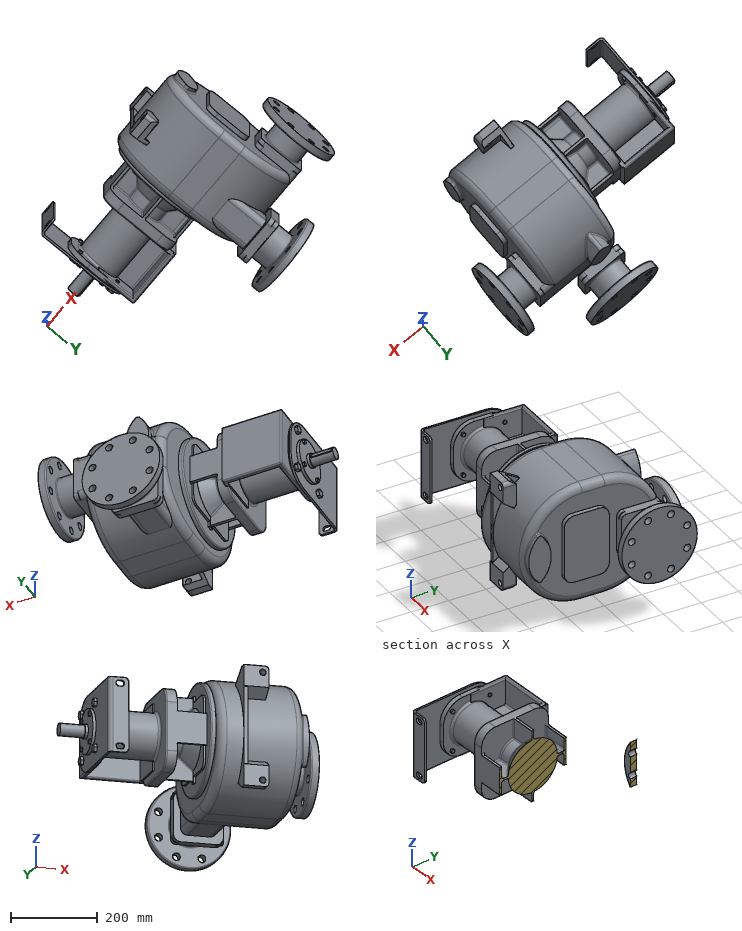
import cadquery as cq
import math


SHAFT_R = 15
KEY_WIDTH = 8
KEY_START_X = 3
KEY_END_X = 55
KEY_TOP_Y = 17.5
COLLAR_R = 17.5
COLLAR_X = 59
COVER_R = 54
COVER_X = 66
COVER_THICKNESS = 7.5
HEX_SIDES = 6
SCREW_PITCH = 33.5
SCREW_CORNERS = 12
SCREW_HEAD = 4.5
BOLT_PITCH = 55
BOLT_CORNERS = 21
BOLT_SHANK_R = 5
BOLT_TIP_LENGTH = 5
HOUSING_R = 55.5
HOUSING_PLATE_HALF = 80
HOUSING_PLATE_CORNER_R = 57
HOUSING_PLATE_THICKNESS = 13
HOUSING_FILLET = 6

BRACKET_X = COVER_X + COVER_THICKNESS
BRACKET_THICKNESS = 5.5
BRACKET_HALF_HEIGHT = 90
BRACKET_END_Y = 82
BRACKET_END_R = 65
BRACKET_BEND_R = 10
BRACKET_FOOT_LENGTH = 48
SLOT_LENGTH = 20
SLOT_WIDTH = 14
SLOT_X = 101
SLOT_Z = 75.5

BOX_X = 82
BOX_END_X = 236
BOX_OUTER_Y = 114
BOX_WALL = 12.5
BOX_HALF_HEIGHT = 80
BOX_EDGE_FILLET = 3.5
BOX_FIN_HALF = 8
BOX_FIN_FILLET = 4

LANTERN_X = 229
LANTERN_FLANGE_THICKNESS = 27
LANTERN_HALF = 99.5
LANTERN_CORNER_R = 41
LANTERN_EDGE_FILLET = 3
ARM_HALF_HEIGHT = 38
RIB_THICKNESS = 7
ARM_FILLET = 7
ROOT_FILLET = 3
HUB_R = 44.5
HUB_CONE_X = 288
HUB_CONE_END_R = 78.5
PAD_HALF = 89
PAD_CORNER_R = 20
PAD_THICKNESS = 5
RIB_FOOT_WIDTH = 14
RIB_FOOT_TOP = 104
DISC_X = 327
DISC_R = 134.5
DISC_EDGE_FILLET = 3

CASING_X = 339
CASING_LENGTH = 208.5
CASING_R = 157
CASING_Z = -16
CASING_ARC_Y = 61
CASING_FLAT_Y = 211.5
CASING_FILLET = 20
CASING_END_X = CASING_X + CASING_LENGTH
BACK_BOSS_HEIGHT = 12

FLANGE_R = 100.5
FLANGE_THICKNESS = 20
FLANGE_EDGE_FILLET = 3
FLANGE_HOLE_COUNT = 8
FLANGE_HOLE_CIRCLE_R = 80
FLANGE_HOLE_D = 18
PIPE_R = 48.5
PIPE_FILLET = 2
MOUNT_SIDE = 120
MOUNT_THICKNESS = 12
MOUNT_CORNER_R = 12.5
SEAT_CORNER_R = 16
OUTLET_X = CASING_X + MOUNT_SIDE / 2
OUTLET_Z = -121.5
OUTLET_FACE_Y = 308.5
OUTLET_MOUNT_Y = 226
SEAT_THICKNESS = 13
DUCT_SIDE = 86
DUCT_CORNER_R = 16
INLET_FACE_X = 642.5
INLET_Y = CASING_FLAT_Y - MOUNT_SIDE / 2

LENS_WIDTH = 60
LENS_HEIGHT = 131
LENS_TIP_R = 8
FILLER_Z = 27.5
LENS_BASE_FILLET = 4
DRAIN_Y = -119.5
COVER_BOSS_Y = 5.5
COVER_BOSS_WIDTH = 120
COVER_BOSS_HEIGHT = 180
COVER_BOSS_CORNER_R = 26

FOOT_X = OUTLET_X
FOOT_WEB = 10
FOOT_WEB_RECESS = 1.5
FOOT_LENGTH = 60
FOOT_Y = -159.5
FOOT_HALF_HEIGHT = 145
FOOT_TOP_DEPTH = 20
FOOT_BLOCK_DEPTH = 35
FOOT_BLOCK_INNER_Z = 94
FOOT_SLOPE = 30
FOOT_INNER_SLOPE = 37
FOOT_CORNER_R = 10
FOOT_HOLE_D = 15
FOOT_HOLE_X = 444
FOOT_HOLE_Z = 129.5

SELECT_MARGIN = 0.5


def box(x0, x1, y0, y1, z0, z1):
    """Block between two opposite corners."""
    size = (x1 - x0, y1 - y0, z1 - z0)
    return cq.Workplane("XY", origin=(x0, y0, z0)).box(*size, centered=False)


def at_x(x, y=0, z=0):
    """Sketch plane facing +X, with local axes along Y and Z."""
    return cq.Workplane("YZ", origin=(x, y, z))


def facing_y(y, x=0, z=0):
    """Sketch plane facing +Y, with local axes along X and -Z."""
    return cq.Workplane(cq.Plane(origin=(x, y, z), xDir=(1, 0, 0), normal=(0, 1, 0)))


def rounded_plate(plane, width, height, corner_r, thickness):
    """Rectangular plate with rounded corners, rising from a sketch plane."""
    plate = plane.rect(width, height).extrude(thickness)
    return plate.edges(cq.selectors.ParallelDirSelector(plane.plane.zDir)).fillet(corner_r)


def lens_boss(plane, height):
    """Upright boss whose section is two arcs meeting in rounded tips."""
    tip = LENS_HEIGHT / 2
    side = LENS_WIDTH / 2
    boss = (
        plane.moveTo(0, -tip)
        .threePointArc((side, 0), (0, tip))
        .threePointArc((-side, 0), (0, -tip))
        .close()
        .extrude(height)
    )
    return boss.edges(cq.selectors.ParallelDirSelector(plane.plane.zDir)).fillet(LENS_TIP_R)


def corner_points(pitch):
    """Four points at the corners of a square, given half its side."""
    return [(sy * pitch, sz * pitch) for sy in (-1, 1) for sz in (-1, 1)]


def make_shaft():
    shaft = at_x(0).circle(SHAFT_R).extrude(COVER_X)
    collar = at_x(COLLAR_X).circle(COLLAR_R).extrude(COVER_X - COLLAR_X)
    key = box(KEY_START_X, KEY_END_X, 0, KEY_TOP_Y, -KEY_WIDTH / 2, KEY_WIDTH / 2)
    return shaft.union(collar).union(key)


def make_barrel(start_x):
    """Round barrel that flares with a fillet into the plates at both of its ends."""
    flare = HOUSING_FILLET
    foot_r = HOUSING_R + flare
    mid = flare * (1 - math.sqrt(0.5))
    outline = (
        cq.Workplane("XY")
        .moveTo(start_x, 0)
        .lineTo(start_x, foot_r)
        .threePointArc((start_x + mid, HOUSING_R + mid), (start_x + flare, HOUSING_R))
        .lineTo(LANTERN_X - flare, HOUSING_R)
        .threePointArc((LANTERN_X - mid, HOUSING_R + mid), (LANTERN_X, foot_r))
        .lineTo(LANTERN_X, 0)
        .close()
    )
    return outline.revolve(360, (0, 0, 0), (1, 0, 0))


def make_housing():
    plate_x = BRACKET_X + BRACKET_THICKNESS
    barrel_x = plate_x + HOUSING_PLATE_THICKNESS
    side = 2 * HOUSING_PLATE_HALF
    plate = rounded_plate(at_x(plate_x), side, side, HOUSING_PLATE_CORNER_R, HOUSING_PLATE_THICKNESS)
    housing = plate.union(make_barrel(barrel_x))
    cover = at_x(COVER_X).circle(COVER_R).extrude(plate_x - COVER_X)
    screws = at_x(COVER_X - SCREW_HEAD).pushPoints(corner_points(SCREW_PITCH))
    screws = screws.polygon(HEX_SIDES, SCREW_CORNERS).extrude(SCREW_HEAD)
    heads = at_x(COVER_X).pushPoints(corner_points(BOLT_PITCH))
    heads = heads.polygon(HEX_SIDES, BOLT_CORNERS).extrude(COVER_THICKNESS)
    tips = at_x(BRACKET_X).pushPoints(corner_points(BOLT_PITCH))
    tips = tips.circle(BOLT_SHANK_R).extrude(barrel_x + BOLT_TIP_LENGTH - BRACKET_X)
    return housing.union(cover).union(screws).union(heads).union(tips)


def make_bracket():
    half = BRACKET_HALF_HEIGHT
    end_x = BRACKET_X + BRACKET_FOOT_LENGTH
    plate_end_x = BRACKET_X + BRACKET_THICKNESS
    foot_inner_y = FOOT_Y + BRACKET_THICKNESS
    bracket = box(BRACKET_X, end_x, FOOT_Y, BRACKET_END_Y, -half, half)
    bracket = bracket.edges("|Z and <X and <Y").fillet(BRACKET_BEND_R)
    bracket = bracket.cut(box(plate_end_x, end_x, foot_inner_y, BRACKET_END_Y, -half, half))
    bracket = bracket.edges("|Z").edges(
        cq.selectors.NearestToPointSelector((plate_end_x, foot_inner_y, 0))
    ).fillet(BRACKET_BEND_R - BRACKET_THICKNESS)
    bracket = bracket.edges("|X and >Y").fillet(BRACKET_END_R)
    bracket = bracket.edges("|Y and >X").fillet(BRACKET_BEND_R)
    slots = facing_y(FOOT_Y).pushPoints([(SLOT_X, -SLOT_Z), (SLOT_X, SLOT_Z)])
    return bracket.cut(slots.slot2D(SLOT_LENGTH, SLOT_WIDTH).extrude(BRACKET_THICKNESS))


def make_side_box():
    half = BOX_HALF_HEIGHT
    wall_y = BOX_OUTER_Y - BOX_WALL
    back = box(BOX_X, BOX_END_X, wall_y, BOX_OUTER_Y, -half, half)
    front = box(BOX_X, BOX_X + BOX_WALL, 0, BOX_OUTER_Y, -half, half)
    walls = back.union(front)
    walls = walls.edges("|Z and <X and >Y").fillet(BOX_EDGE_FILLET)
    walls = walls.faces("<Z or >Z").edges().fillet(BOX_EDGE_FILLET)
    lip = box(LANTERN_X - BOX_EDGE_FILLET, BOX_END_X, 0, BOX_OUTER_Y - BOX_WALL / 2, -half, half)
    fin = box(BOX_X, LANTERN_X, 0, wall_y, -BOX_FIN_HALF, BOX_FIN_HALF)
    fin_root = cq.selectors.BoxSelector(
        (BOX_X + BOX_WALL, wall_y - SELECT_MARGIN, -BOX_FIN_HALF - SELECT_MARGIN),
        (LANTERN_X, wall_y + SELECT_MARGIN, BOX_FIN_HALF + SELECT_MARGIN),
    )
    walls = walls.union(fin).edges("|X").edges(fin_root).fillet(BOX_FIN_FILLET)
    return walls.union(lip)


def make_side_arms(start_x):
    """Level rib through the hub that carries a flat arm along each of its two sides."""
    rib = RIB_THICKNESS / 2
    half = LANTERN_HALF
    inner_y = half - RIB_THICKNESS
    arms = box(start_x, DISC_X, -half, half, -rib, rib)
    for y in (-half, inner_y):
        arms = arms.union(box(start_x, DISC_X, y, y + RIB_THICKNESS, -ARM_HALF_HEIGHT, ARM_HALF_HEIGHT))
    roots = cq.selectors.BoxSelector(
        (start_x, -inner_y - SELECT_MARGIN, -rib - SELECT_MARGIN),
        (DISC_X, inner_y + SELECT_MARGIN, rib + SELECT_MARGIN),
    )
    return arms.edges("|X").edges(roots).fillet(ARM_FILLET)


def fillet_lantern_roots(lantern, root_x):
    """Fillet the ribs into the hub, then the hub, ribs and arms into the flange at root_x."""
    hub_edges = cq.selectors.BoxSelector(
        (root_x + SELECT_MARGIN, -HUB_CONE_END_R, -HUB_CONE_END_R),
        (DISC_X - PAD_THICKNESS - SELECT_MARGIN, HUB_CONE_END_R, HUB_CONE_END_R),
    )
    root_half_y = LANTERN_HALF - SELECT_MARGIN
    root_edges = cq.selectors.BoxSelector(
        (root_x - SELECT_MARGIN, -root_half_y, -HUB_CONE_END_R),
        (root_x + SELECT_MARGIN, root_half_y, HUB_CONE_END_R),
    )
    lantern = lantern.edges(hub_edges).fillet(ROOT_FILLET)
    return lantern.edges(root_edges).fillet(ROOT_FILLET)


def make_lantern():
    arm_x = LANTERN_X + LANTERN_FLANGE_THICKNESS
    pad_x = DISC_X - PAD_THICKNESS
    half = LANTERN_HALF
    side = 2 * half
    lantern = rounded_plate(at_x(LANTERN_X), side, side, LANTERN_CORNER_R, LANTERN_FLANGE_THICKNESS)
    lantern = lantern.faces("<X").edges().fillet(LANTERN_EDGE_FILLET)
    hub_outline = [
        (arm_x, 0),
        (arm_x, HUB_R),
        (HUB_CONE_X, HUB_R),
        (DISC_X, HUB_CONE_END_R),
        (DISC_X, 0),
    ]
    hub = cq.Workplane("XY").polyline(hub_outline).close().revolve(360, (0, 0, 0), (1, 0, 0))
    pad = rounded_plate(at_x(pad_x), 2 * PAD_HALF, 2 * PAD_HALF, PAD_CORNER_R, PAD_THICKNESS)
    disc = at_x(DISC_X).circle(DISC_R).extrude(CASING_X - DISC_X)
    disc = disc.faces("<X").edges().fillet(DISC_EDGE_FILLET)
    lantern = lantern.union(hub).union(pad).union(disc)
    rib = RIB_THICKNESS / 2
    lantern = lantern.union(box(arm_x, DISC_X, -rib, rib, -half, half))
    lantern = lantern.union(make_side_arms(arm_x))
    foot = RIB_FOOT_WIDTH / 2
    lantern = lantern.union(box(pad_x, DISC_X, -foot, foot, -RIB_FOOT_TOP, RIB_FOOT_TOP))
    return fillet_lantern_roots(lantern, arm_x)


def make_casing_shell():
    half_flat = math.sqrt(CASING_R**2 - (CASING_FLAT_Y - CASING_ARC_Y) ** 2)
    diagonal = CASING_R * math.sqrt(0.5)
    outline = (
        at_x(CASING_X, 0, CASING_Z)
        .moveTo(0, CASING_R)
        .lineTo(CASING_ARC_Y, CASING_R)
        .threePointArc((CASING_ARC_Y + diagonal, diagonal), (CASING_FLAT_Y, half_flat))
        .lineTo(CASING_FLAT_Y, -half_flat)
        .threePointArc((CASING_ARC_Y + diagonal, -diagonal), (CASING_ARC_Y, -CASING_R))
        .lineTo(0, -CASING_R)
        .threePointArc((-CASING_R, 0), (0, CASING_R))
        .close()
    )
    return outline.extrude(CASING_LENGTH).faces("<X or >X").edges().fillet(CASING_FILLET)


def make_connection(plane, length):
    """Square mounting plate, pipe and drilled round flange, rising from the plate's back face."""
    flange_base = length - FLANGE_THICKNESS
    plate = rounded_plate(plane, MOUNT_SIDE, MOUNT_SIDE, MOUNT_CORNER_R, MOUNT_THICKNESS)
    pipe_plane = plane.workplane(offset=MOUNT_THICKNESS)
    pipe = pipe_plane.circle(PIPE_R).extrude(flange_base - MOUNT_THICKNESS)
    flange = plane.workplane(offset=flange_base).circle(FLANGE_R).extrude(FLANGE_THICKNESS)
    flange = flange.edges(cq.selectors.DirectionMinMaxSelector(plane.plane.zDir, False))
    flange = flange.fillet(FLANGE_EDGE_FILLET)
    connection = plate.union(pipe).union(flange)
    pipe_ends = cq.selectors.RadiusNthSelector(2)
    connection = connection.edges("%CIRCLE").edges(pipe_ends).fillet(PIPE_FILLET)
    start_angle = 180 / FLANGE_HOLE_COUNT
    holes = plane.workplane(offset=flange_base)
    holes = holes.polarArray(FLANGE_HOLE_CIRCLE_R, start_angle, 360, FLANGE_HOLE_COUNT)
    return connection.cut(holes.circle(FLANGE_HOLE_D / 2).extrude(FLANGE_THICKNESS))


def make_outlet():
    seat_y = OUTLET_MOUNT_Y - SEAT_THICKNESS
    mount = facing_y(OUTLET_MOUNT_Y, OUTLET_X, OUTLET_Z)
    connection = make_connection(mount, OUTLET_FACE_Y - OUTLET_MOUNT_Y)
    seat_plane = facing_y(seat_y, OUTLET_X, OUTLET_Z)
    seat = rounded_plate(seat_plane, MOUNT_SIDE, MOUNT_SIDE, SEAT_CORNER_R, SEAT_THICKNESS)
    duct_plane = facing_y(CASING_ARC_Y, OUTLET_X, OUTLET_Z)
    duct = rounded_plate(duct_plane, DUCT_SIDE, DUCT_SIDE, DUCT_CORNER_R, seat_y - CASING_ARC_Y)
    return connection.union(seat).union(duct)


def make_inlet():
    mount_x = CASING_END_X + BACK_BOSS_HEIGHT
    connection = make_connection(at_x(mount_x, INLET_Y, CASING_Z), INLET_FACE_X - mount_x)
    seat_x = CASING_END_X - CASING_FILLET
    seat_plane = at_x(seat_x, INLET_Y, CASING_Z)
    seat = rounded_plate(seat_plane, MOUNT_SIDE, MOUNT_SIDE, SEAT_CORNER_R, mount_x - seat_x)
    return connection.union(seat)


def make_cover_boss():
    """Raised rectangular cover pad on the rear of the casing."""
    start_x = CASING_END_X - CASING_FILLET
    plane = at_x(start_x, COVER_BOSS_Y, CASING_Z)
    height = CASING_FILLET + BACK_BOSS_HEIGHT
    return rounded_plate(plane, COVER_BOSS_WIDTH, COVER_BOSS_HEIGHT, COVER_BOSS_CORNER_R, height)


def add_drain(casing):
    """Oval drain boss on the rear of the casing, filleted where it meets the rounded rim."""
    start_x = CASING_END_X - CASING_FILLET
    boss = lens_boss(at_x(start_x, DRAIN_Y, CASING_Z), CASING_FILLET + BACK_BOSS_HEIGHT)
    half_width = LENS_WIDTH / 2
    half_height = LENS_HEIGHT / 2
    root = cq.selectors.BoxSelector(
        (start_x, DRAIN_Y - half_width, CASING_Z - half_height),
        (CASING_END_X + SELECT_MARGIN, DRAIN_Y + half_width / 2, CASING_Z + half_height),
    )
    return casing.union(boss).edges(root).fillet(LENS_BASE_FILLET)


def add_filler(casing):
    """Oval filler boss on the +Y side of the casing, filleted at its base."""
    plane = facing_y(CASING_ARC_Y, OUTLET_X, FILLER_Z)
    boss = lens_boss(plane, OUTLET_MOUNT_Y - CASING_ARC_Y)
    half_width = LENS_WIDTH / 2
    root = cq.selectors.BoxSelector(
        (OUTLET_X - half_width, CASING_ARC_Y, FILLER_Z - LENS_HEIGHT),
        (OUTLET_X + half_width, CASING_FLAT_Y - LENS_BASE_FILLET, FILLER_Z + LENS_HEIGHT),
    )
    return casing.union(boss).edges(root).fillet(LENS_BASE_FILLET)


def make_foot(side):
    """One casing foot: sloped web plate and drilled block; side is +1 above and -1 below."""
    slope = math.tan(math.radians(FOOT_SLOPE))
    inner_slope = math.tan(math.radians(FOOT_INNER_SLOPE))
    top_y = FOOT_Y + FOOT_TOP_DEPTH
    block_y = FOOT_Y + FOOT_BLOCK_DEPTH
    top_z = FOOT_HALF_HEIGHT
    block_z = top_z - (block_y - top_y) * slope
    web_z = top_z + top_y * slope
    web_y = FOOT_Y + FOOT_WEB_RECESS
    web_outline = [(web_y, 0), (web_y, top_z), (top_y, top_z), (0, web_z), (0, 0)]
    block_outline = [
        (FOOT_Y, FOOT_BLOCK_INNER_Z),
        (FOOT_Y, top_z),
        (top_y, top_z),
        (block_y, block_z),
        (block_y, FOOT_BLOCK_INNER_Z - FOOT_BLOCK_DEPTH * inner_slope),
    ]
    web = at_x(FOOT_X).polyline([(y, side * z) for y, z in web_outline]).close().extrude(FOOT_WEB)
    block = at_x(FOOT_X).polyline([(y, side * z) for y, z in block_outline]).close()
    block = block.extrude(FOOT_LENGTH)
    corner = cq.selectors.NearestToPointSelector((FOOT_X + FOOT_LENGTH, top_y, side * top_z))
    block = block.edges("|Y").edges(corner).fillet(FOOT_CORNER_R)
    hole = facing_y(FOOT_Y).center(FOOT_HOLE_X, -side * FOOT_HOLE_Z)
    hole = hole.circle(FOOT_HOLE_D / 2).extrude(FOOT_BLOCK_DEPTH)
    return web.union(block).cut(hole)


result = (
    add_filler(add_drain(make_casing_shell()))
    .union(make_cover_boss())
    .union(make_outlet())
    .union(make_inlet())
    .union(make_foot(1))
    .union(make_foot(-1))
    .union(make_lantern())
    .union(make_side_box())
    .union(make_housing())
    .union(make_bracket())
    .union(make_shaft())
)